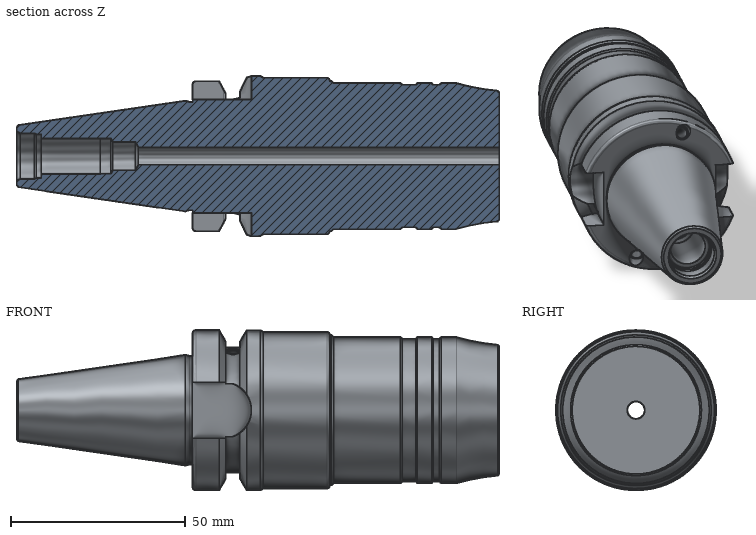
import cadquery as cq
import math

TOTAL_LENGTH = 138.4

GAUGE_X = 48.4
GAUGE_DIA = 31.85
TAPER_RATIO = 7 / 24
TAPER_END_CHAMFER = 0.5
RELIEF_DIA = 31.2
RELIEF_X = 49.5

FLANGE_DIA = 46
FLANGE_X = GAUGE_X + 2
FLANGE_END_X = 70.7
FLANGE_FRONT_FILLET = 1.0
FLANGE_REAR_CHAMFER = 0.8
GROOVE_X = 62
GROOVE_FLOOR_DIA = 36
GROOVE_FLOOR_WIDTH = 4
GROOVE_WALL_DIA = 39.2
GROOVE_FLANK_ANGLE = 30

BODY_DIA = 45
BODY_END_X = 89.8
BODY_FILLET = 0.9

NOSE_DIA = 42
NOSE_CONE_X = 90.2
NOSE_X = 90.9
NOSE_GROOVE_DIA = 41
NOSE_GROOVES = (
    (110.0, 114.9, 0.6, 0.4),
    (119.0, 121.8, 0.4, 0.6),
)
NARROWING_X = 126.0
NARROWING_SAG = 0.3
NOSE_END_DIA = 37.6
NOSE_END_CHAMFER = 0.5

MOUTH_DIA = 14
MOUTH_DEPTH = 1
LEAD_DIA = 13.1
LEAD_DEPTH = 5
SOCKET_DIA = 12.5
SOCKET_X = 5.6
SOCKET_DEPTH = 7
THREAD_DIA = 10.11
THREAD_DEPTH = 24
CLEARANCE_DIA = 10
CLEARANCE_DEPTH = 27
PILOT_DIA = 8
PILOT_DEPTH = 34
THROUGH_DIA = 4.92
DRILL_POINT_ANGLE = 118

KEYWAY_WIDTH = 16.1
KEYWAY_FLOOR_Y = 16.3
KEYWAY_END_X = 67.3

COOLANT_HOLE_DIA = 4
COOLANT_PILOT_DIA = 3.24
COOLANT_TILT = 20
COOLANT_SLOPE = 30
COOLANT_MOUTH_RADIUS = 20
COOLANT_MOUTH_DEPTH = 1.4
RADIAL_MOUTH_DEPTH = 0.4
RADIAL_OVERRUN = 2


def revolve_about_x(profile):
    return profile.close().revolve(360, (0, 0, 0), (1, 0, 0))


def cylinder(start, direction, dia, length):
    return cq.Workplane(cq.Solid.makeCylinder(dia / 2, length, start, direction))


def outer_body():
    taper_end_r = (GAUGE_DIA - GAUGE_X * TAPER_RATIO) / 2
    flange_r = FLANGE_DIA / 2
    wall_r = GROOVE_WALL_DIA / 2
    floor_r = GROOVE_FLOOR_DIA / 2
    body_r = BODY_DIA / 2
    nose_r = NOSE_DIA / 2
    nose_groove_r = NOSE_GROOVE_DIA / 2
    nose_end_r = NOSE_END_DIA / 2
    half_floor = GROOVE_FLOOR_WIDTH / 2
    half_groove = half_floor + (flange_r - wall_r) * math.tan(math.radians(GROOVE_FLANK_ANGLE))
    narrowing_end_x = TOTAL_LENGTH - NOSE_END_CHAMFER
    narrowing_middle = ((NARROWING_X + narrowing_end_x) / 2, (nose_r + nose_end_r) / 2 - NARROWING_SAG)

    profile = (
        cq.Workplane("XY")
        .moveTo(0, 0)
        .lineTo(0, taper_end_r - TAPER_END_CHAMFER)
        .lineTo(TAPER_END_CHAMFER, taper_end_r + TAPER_END_CHAMFER * TAPER_RATIO / 2)
        .lineTo(GAUGE_X, GAUGE_DIA / 2)
        .lineTo(RELIEF_X, RELIEF_DIA / 2)
        .lineTo(FLANGE_X, RELIEF_DIA / 2)
        .lineTo(FLANGE_X, flange_r - FLANGE_FRONT_FILLET)
        .radiusArc((FLANGE_X + FLANGE_FRONT_FILLET, flange_r), FLANGE_FRONT_FILLET)
        .lineTo(GROOVE_X - half_groove, flange_r)
        .lineTo(GROOVE_X - half_floor, wall_r)
        .lineTo(GROOVE_X - half_floor, floor_r)
        .lineTo(GROOVE_X + half_floor, floor_r)
        .lineTo(GROOVE_X + half_floor, wall_r)
        .lineTo(GROOVE_X + half_groove, flange_r)
        .lineTo(FLANGE_END_X - FLANGE_REAR_CHAMFER, flange_r)
        .lineTo(FLANGE_END_X, body_r)
        .lineTo(BODY_END_X - BODY_FILLET, body_r)
        .radiusArc((BODY_END_X, body_r - BODY_FILLET), BODY_FILLET)
        .lineTo(NOSE_CONE_X, body_r - BODY_FILLET)
        .lineTo(NOSE_X, nose_r)
    )
    for start_x, end_x, start_wall, end_wall in NOSE_GROOVES:
        profile = (
            profile.lineTo(start_x, nose_r)
            .lineTo(start_x + start_wall, nose_groove_r)
            .lineTo(end_x - end_wall, nose_groove_r)
            .lineTo(end_x, nose_r)
        )
    profile = (
        profile.lineTo(NARROWING_X, nose_r)
        .threePointArc(narrowing_middle, (narrowing_end_x, nose_end_r))
        .lineTo(TOTAL_LENGTH, nose_end_r - NOSE_END_CHAMFER)
        .lineTo(TOTAL_LENGTH, 0)
    )
    return revolve_about_x(profile)


def axial_bore():
    mouth_r = MOUTH_DIA / 2
    lead_r = LEAD_DIA / 2
    socket_r = SOCKET_DIA / 2
    thread_r = THREAD_DIA / 2
    clearance_r = CLEARANCE_DIA / 2
    pilot_r = PILOT_DIA / 2
    through_r = THROUGH_DIA / 2
    point_slope = math.tan(math.radians(DRILL_POINT_ANGLE / 2))
    pilot_x = CLEARANCE_DEPTH + (clearance_r - pilot_r) / point_slope
    through_x = PILOT_DEPTH + (pilot_r - through_r) / point_slope
    profile = (
        cq.Workplane("XY")
        .moveTo(0, 0)
        .lineTo(0, mouth_r)
        .lineTo(MOUTH_DEPTH, lead_r)
        .lineTo(LEAD_DEPTH, lead_r)
        .lineTo(SOCKET_X, socket_r)
        .lineTo(SOCKET_DEPTH, socket_r)
        .lineTo(SOCKET_DEPTH, thread_r)
        .lineTo(THREAD_DEPTH, thread_r)
        .lineTo(THREAD_DEPTH, clearance_r)
        .lineTo(CLEARANCE_DEPTH, clearance_r)
        .lineTo(pilot_x, pilot_r)
        .lineTo(PILOT_DEPTH, pilot_r)
        .lineTo(through_x, through_r)
        .lineTo(TOTAL_LENGTH, through_r)
        .lineTo(TOTAL_LENGTH, 0)
    )
    return revolve_about_x(profile)


def keyway(side):
    radius = KEYWAY_WIDTH / 2
    arc_x = KEYWAY_END_X - radius
    depth = FLANGE_DIA / 2 - KEYWAY_FLOOR_Y
    middle_y = side * (KEYWAY_FLOOR_Y + depth / 2)
    straight_length = arc_x - FLANGE_X
    straight = cq.Workplane("XY").box(straight_length, depth, KEYWAY_WIDTH)
    straight = straight.translate((FLANGE_X + straight_length / 2, middle_y, 0))
    floor_point = cq.Vector(arc_x, side * KEYWAY_FLOOR_Y, 0)
    return straight.union(cylinder(floor_point, cq.Vector(0, side, 0), KEYWAY_WIDTH, depth))


def coolant_holes():
    """The upper sloping and radial holes, before tilting about the X axis."""
    slope = math.radians(COOLANT_SLOPE)
    direction = cq.Vector(math.cos(slope), 0, -math.sin(slope))
    mouth = cq.Vector(FLANGE_X, 0, COOLANT_MOUTH_RADIUS)
    lead = COOLANT_HOLE_DIA * math.tan(slope)
    start = mouth - direction * lead
    pilot_length = (GROOVE_X - FLANGE_X) / math.cos(slope)
    meeting_z = COOLANT_MOUTH_RADIUS - (GROOVE_X - FLANGE_X) * math.tan(slope)

    outward = cq.Vector(0, 0, 1)
    floor_r = GROOVE_FLOOR_DIA / 2
    bottom_z = meeting_z - RADIAL_OVERRUN
    bottom_point = cq.Vector(GROOVE_X, 0, bottom_z)
    step_point = cq.Vector(GROOVE_X, 0, floor_r - RADIAL_MOUTH_DEPTH)

    holes = cylinder(start, direction, COOLANT_HOLE_DIA, lead + COOLANT_MOUTH_DEPTH)
    holes = holes.union(cylinder(mouth, direction, COOLANT_PILOT_DIA, pilot_length))
    holes = holes.union(cylinder(bottom_point, outward, COOLANT_PILOT_DIA, floor_r - bottom_z))
    return holes.union(cylinder(step_point, outward, COOLANT_HOLE_DIA, RADIAL_MOUTH_DEPTH))


result = outer_body().cut(axial_bore())
for keyway_side in (-1, 1):
    result = result.cut(keyway(keyway_side))
for half_turn in (0, 180):
    angle = COOLANT_TILT + half_turn
    result = result.cut(coolant_holes().rotate((0, 0, 0), (1, 0, 0), angle))